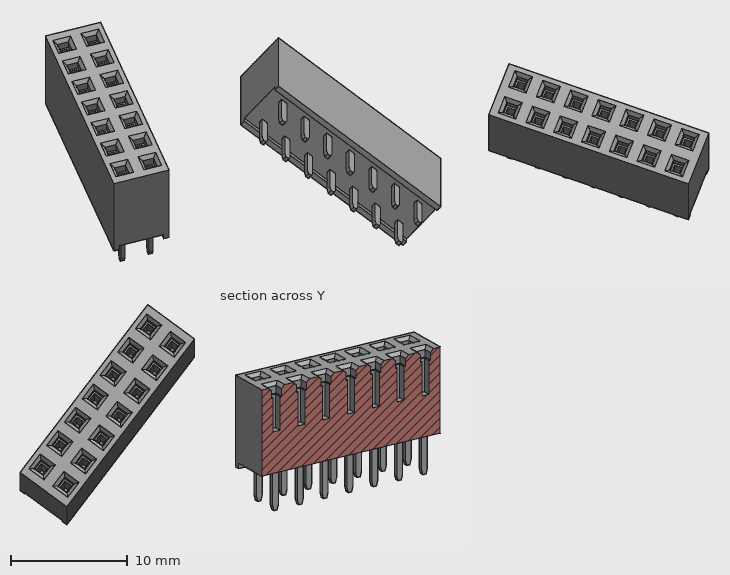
import cadquery as cq

length = 18.28
width = 5.0
total_height = 11.5
pin_reach = 3.02
rail_width = 0.5
rail_height = 0.5

column_count = 7
row_count = 2
pitch = 2.55

mouth_size = 1.6
throat_size = 0.99
funnel_depth = (mouth_size - throat_size) / 2
throat_depth = 0.7
contact_hole_size = 0.68
contact_hole_depth = 3.1

pin_width = 0.6
pin_thickness = 0.38
tip_width = 0.33
tip_height = 0.5

foot_level = pin_reach
underside_level = foot_level + rail_height
funnel_floor = total_height - funnel_depth
throat_floor = funnel_floor - throat_depth


def make_housing():
    """Block with a channel along its underside, leaving a foot on each long edge."""
    base = cq.Workplane("XY").workplane(offset=foot_level)
    block = base.rect(length, width).extrude(total_height - foot_level)
    channel_width = width - 2 * rail_width
    channel = base.rect(length, channel_width).extrude(rail_height)
    return block.cut(channel)


def make_socket():
    """Funnel, square throat and narrower contact hole, as one cutting body."""
    funnel_base = cq.Workplane("XY").workplane(offset=funnel_floor)
    funnel = (
        funnel_base.rect(throat_size, throat_size)
        .workplane(offset=funnel_depth).rect(mouth_size, mouth_size)
        .loft(ruled=True)
    )
    throat = funnel_base.rect(throat_size, throat_size).extrude(-throat_depth)
    contact_hole = (
        cq.Workplane("XY").workplane(offset=throat_floor)
        .rect(contact_hole_size, contact_hole_size).extrude(-contact_hole_depth)
    )
    return funnel.union(throat).union(contact_hole)


def make_pin():
    """Flat pin from the channel ceiling down to its narrowed tip."""
    outline = [
        (-tip_width / 2, 0),
        (tip_width / 2, 0),
        (pin_width / 2, tip_height),
        (pin_width / 2, underside_level),
        (-pin_width / 2, underside_level),
        (-pin_width / 2, tip_height),
    ]
    return cq.Workplane("XZ").polyline(outline).close().extrude(pin_thickness / 2, both=True)


socket = make_socket()
pin = make_pin()

result = make_housing()
for column in range(column_count):
    for row in range(row_count):
        x = (column - (column_count - 1) / 2) * pitch
        y = (row - (row_count - 1) / 2) * pitch
        position = (x, y, 0)
        result = result.cut(socket.translate(position))
        result = result.union(pin.translate(position))